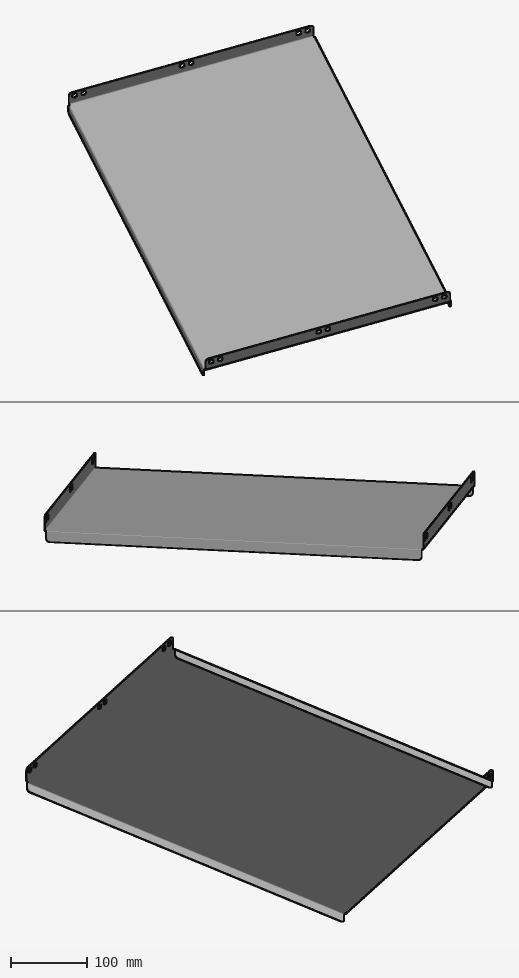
import cadquery as cq

length = 506.0
width = 346.0
height = 35.5
thickness = 1.0
bend_radius = 1.25
outer_radius = bend_radius + thickness

lip_height = 14.5
lip_end_inset = 2.5
side_end_inset = 2.0
lip_corner_radius = 5.0
side_corner_radius = 5.0

hole_diameter = 7.0
hole_drop = 7.5
hole_pitch = 12.5
end_hole_y = 163.0
hole_positions = [
    -end_hole_y,
    -end_hole_y + hole_pitch,
    -hole_pitch,
    0.0,
    end_hole_y - hole_pitch,
    end_hole_y,
]

sheet_top = lip_height
sheet_bottom = sheet_top - thickness
side_length = width - 2 * side_end_inset
lip_length = length - 2 * lip_end_inset


def folded_strip(plane, reach, sheet_outer, sheet_inner, edge, span):
    """Fold a strip at its outer end; local x points outward, y is up."""
    direction = 1 if edge > sheet_outer else -1
    root = reach - outer_radius
    bend_end = sheet_outer + direction * outer_radius
    diagonal = 0.5 ** 0.5
    center = (root, bend_end)

    def bend_middle(radius):
        return (center[0] + radius * diagonal, center[1] - direction * radius * diagonal)

    return (
        cq.Workplane(plane)
        .moveTo(root, sheet_outer)
        .threePointArc(bend_middle(outer_radius), (reach, bend_end))
        .lineTo(reach, edge)
        .lineTo(reach - thickness, edge)
        .lineTo(reach - thickness, bend_end)
        .threePointArc(bend_middle(bend_radius), (root, sheet_inner))
        .close()
        .extrude(span / 2, both=True)
    )


def side_flange():
    """Upward flange on the +X side, with rounded top corners and holes."""
    flange = folded_strip("XZ", length / 2, sheet_bottom, sheet_top, height, side_length)
    flange = flange.faces(">Z").edges("|X").fillet(side_corner_radius)
    holes = (
        cq.Workplane("YZ")
        .pushPoints([(y, height - hole_drop) for y in hole_positions])
        .circle(hole_diameter / 2)
        .extrude(length)
    )
    return flange.cut(holes)


def lip():
    """Downward lip on the +Y edge, with rounded bottom corners."""
    strip = folded_strip("YZ", width / 2, sheet_top, sheet_bottom, 0, lip_length)
    return strip.faces("<Z").edges("|Y").fillet(lip_corner_radius)


sheet = cq.Workplane("XY").box(
    length - 2 * outer_radius,
    width - 2 * outer_radius,
    thickness,
    centered=(True, True, False),
).translate((0, 0, sheet_bottom))

right_flange = side_flange()
back_lip = lip()
result = (
    sheet
    .union(right_flange)
    .union(right_flange.mirror("YZ"))
    .union(back_lip)
    .union(back_lip.mirror("XZ"))
)